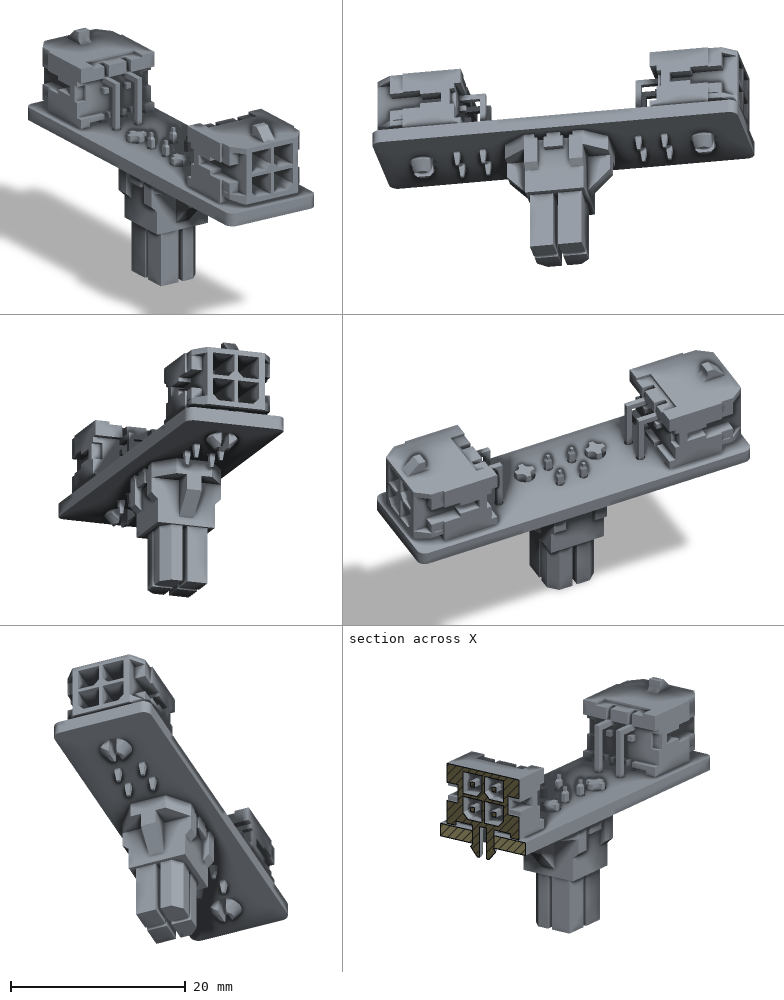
import cadquery as cq

BOARD_LENGTH = 42.5
BOARD_WIDTH = 12.0
BOARD_THICKNESS = 1.57
BOARD_CORNER_RADIUS = 1.0
BOARD_BOTTOM = -BOARD_THICKNESS

PITCH = 3.0
PIN_Y = PITCH / 2
PIN_HOLE_DIAMETER = 1.05

MOUTH_X = -20.95
SHOULDER_X = -19.3
WALL_STEP_X = -17.75
REAR_FACE_X = -11.77
REAR_LIP_X = -11.0
MOUTH_HALF = 3.53
FRONT_HALF = 4.8
REAR_HALF = 5.05
HEADER_TOP = 7.45
HEADER_BOTTOM = 0.65
FOOT_BOTTOM = 0.13
FOOT_INNER_Y = 3.8
UNDERCUT_Z = 1.0
CORNER_CUT_BOTTOM = 1.65
CORNER_CUT_TOP = 6.75

CHANNEL_X = -15.72
CHANNEL_BOTTOM = 2.95
CHANNEL_TOP = 5.1
CHANNEL_TAIL_X = -13.3
TAIL_BOTTOM = 3.45
TAIL_TOP = 4.65
TAIL_POCKET_OUTER_Y = 4.1
TAIL_POCKET_BOTTOM = 3.75
TAIL_POCKET_TOP = 4.5
TAIL_POCKET_DEPTH = 0.42
SIDE_SLIT_X = -18.9
SIDE_SLIT_BOTTOM = 1.6
SIDE_SLIT_HEIGHT = 0.13
SIDE_SLIT_DEPTH = 0.15

LIP_UNDER = 5.65
LOWER_LIP_TOP = 1.25
NOTCH_X = -12.32
NOTCH_INNER_Y = 3.9
NOTCH_BOTTOM = 3.05
NOTCH_TOP = 5.0
TOP_RECESS_X = -12.8
TOP_RECESS_HALF = 3.3
TOP_RECESS_DEPTH = 0.35

CAVITY_SIZE = 2.6
CAVITY_CENTER_Z = 4.05
CAVITY_DEPTH = 6.95
CAVITY_CHAMFER = 0.7
CONTACT_LENGTH = 3.4
CONTACT_TIP_CHAMFER = 0.15

LATCH_WIDTH = 1.5
LATCH_TOP = 8.85
LATCH_FRONT_X = -20.35
LATCH_CREST_FRONT_X = -18.83
LATCH_CREST_REAR_X = -18.0
LATCH_FILLET = 0.72

PIN_SIZE = 0.65
OUTER_PIN_X = -9.05
INNER_PIN_X = OUTER_PIN_X - PITCH
NUB_BOTTOM = 3.7
PIN_TAPER_START = -2.1
PIN_TIP_SIZE = 0.35
PIN_BOTTOM = -3.1

PEG_X = -16.35
PEG_HALF_THICKNESS = 1.05
PEG_NECK_RADIUS = 1.55
PEG_BARB_RADIUS = 1.83
PEG_BARB_Z = -2.0
PEG_TIP_RADIUS = 0.9
PEG_SLOT = 0.95
PEG_PAD_LENGTH = 6.38

PLUG_X = -0.3
PLUG_Y = -0.45
PLUG_HALF_X = 3.4
PLUG_LOWER_HALF_Y = 3.5
PLUG_UPPER_HALF_Y = 4.25
PLUG_STEP_TOP = -5.1
PLUG_STEP_BOTTOM = -5.82
PLUG_BOTTOM = -8.6
WING_HALF_X = 6.0
WING_HALF_Y = 0.9
WING_SLOPE_BOTTOM = -7.7
FLANGE_BOTTOM = -3.35
FLANGE_END_HALF_Y = 2.15
FRONT_POCKET_HALF_X = 1.85
CENTER_TAB_HALF_X = 1.1
PIN_CHANNEL_WIDTH = 1.45
PIN_CHANNEL_BOTTOM = -2.05

SOCKET_SIZE_X = 2.7
SOCKET_SIZE_Y = 2.42
SOCKET_GAP = 0.6
SOCKET_CHAMFER = 1.05
SOCKET_BOTTOM = -15.17

PLUG_PIN_SIZE_X = 0.75
PLUG_PIN_SIZE_Y = 0.5
PLUG_PIN_SHOULDER = 1.1
PLUG_PIN_TAPER_END = 1.35
PLUG_PIN_TIP_SIZE = 0.35
PLUG_PIN_TOP = 1.83

STAR_PEG_OFFSET_X = 4.5
STAR_PEG_Y = -PIN_Y
STAR_PEG_RADIUS = 1.15
STAR_PEG_HOLE_RADIUS = 1.25
STAR_PEG_TOP = 0.75
STAR_FLUTE_RADIUS = 0.65
STAR_FLUTE_DISTANCE = 1.35


def box(x0, x1, y0, y1, z0, z1):
    """Axis-aligned block between two opposite corners."""
    return cq.Workplane("XY").box(x1 - x0, y1 - y0, z1 - z0, centered=False).translate((x0, y0, z0))


def both_sides(shape):
    """The shape together with its mirror image across the XZ plane."""
    return shape.union(shape.mirror("XZ"))


def disc(x, y, radius, z0, z1):
    """Vertical cylinder between two heights."""
    return cq.Workplane("XY", origin=(x, y, z0)).circle(radius).extrude(z1 - z0)


def taper(x, y, z0, size0, z1, size1):
    """Vertical rectangular frustum, sizes given as (x, y)."""
    base = cq.Workplane("XY", origin=(x, y, z0)).rect(*size0)
    return base.workplane(offset=z1 - z0).rect(*size1).loft(combine=True)


def header_pin_points():
    return [(side * x, y) for side in (1, -1) for x in (OUTER_PIN_X, INNER_PIN_X) for y in (-PIN_Y, PIN_Y)]


def plug_pin_points():
    return [(PLUG_X + dx, y) for dx in (-PITCH / 2, PITCH / 2) for y in (-PIN_Y, PIN_Y)]


def star_peg_points():
    return [(PLUG_X + side * STAR_PEG_OFFSET_X, STAR_PEG_Y) for side in (-1, 1)]


def make_board():
    board = cq.Workplane("XY").box(BOARD_LENGTH, BOARD_WIDTH, BOARD_THICKNESS, centered=(True, True, False))
    board = board.edges("|Z").fillet(BOARD_CORNER_RADIUS).translate((0, 0, BOARD_BOTTOM))
    holes = [(x, y, PIN_HOLE_DIAMETER / 2) for x, y in header_pin_points() + plug_pin_points()]
    holes += [(x, y, STAR_PEG_HOLE_RADIUS) for x, y in star_peg_points()]
    holes += [(side * PEG_X, 0, PEG_NECK_RADIUS) for side in (1, -1)]
    for x, y, radius in holes:
        board = board.cut(disc(x, y, radius, BOARD_BOTTOM, 0))
    return board


def header_shell():
    front = (
        cq.Workplane("XY", origin=(0, 0, HEADER_BOTTOM))
        .moveTo(MOUTH_X, -MOUTH_HALF)
        .lineTo(SHOULDER_X, -FRONT_HALF)
        .lineTo(WALL_STEP_X, -FRONT_HALF)
        .lineTo(WALL_STEP_X, FRONT_HALF)
        .lineTo(SHOULDER_X, FRONT_HALF)
        .lineTo(MOUTH_X, MOUTH_HALF)
        .close()
        .extrude(HEADER_TOP - HEADER_BOTTOM)
    )
    undercut = (
        cq.Workplane("YZ", origin=(MOUTH_X, 0, 0))
        .moveTo(FOOT_INNER_Y, HEADER_BOTTOM)
        .lineTo(FRONT_HALF, HEADER_BOTTOM)
        .lineTo(FRONT_HALF, UNDERCUT_Z)
        .close()
        .extrude(WALL_STEP_X - MOUTH_X)
    )
    front = front.cut(both_sides(undercut))
    rear = box(WALL_STEP_X, REAR_LIP_X, -REAR_HALF, REAR_HALF, HEADER_BOTTOM, HEADER_TOP)
    rear_foot = box(WALL_STEP_X, REAR_LIP_X, FOOT_INNER_Y, REAR_HALF, FOOT_BOTTOM, HEADER_BOTTOM)
    return front.union(rear).union(both_sides(rear_foot))


def cut_header_sides(header):
    cuts = [
        box(MOUTH_X, SHOULDER_X, MOUTH_HALF, REAR_HALF, CORNER_CUT_BOTTOM, CORNER_CUT_TOP),
        box(SHOULDER_X, CHANNEL_X, MOUTH_HALF, REAR_HALF, CHANNEL_BOTTOM, CHANNEL_TOP),
        box(CHANNEL_X, CHANNEL_TAIL_X, MOUTH_HALF, REAR_HALF, TAIL_BOTTOM, TAIL_TOP),
        box(CHANNEL_TAIL_X, CHANNEL_TAIL_X + TAIL_POCKET_DEPTH, MOUTH_HALF, TAIL_POCKET_OUTER_Y,
            TAIL_POCKET_BOTTOM, TAIL_POCKET_TOP),
        box(SIDE_SLIT_X, WALL_STEP_X, FRONT_HALF - SIDE_SLIT_DEPTH, FRONT_HALF,
            SIDE_SLIT_BOTTOM, SIDE_SLIT_BOTTOM + SIDE_SLIT_HEIGHT),
        box(NOTCH_X, REAR_FACE_X, NOTCH_INNER_Y, REAR_HALF, NOTCH_BOTTOM, NOTCH_TOP),
    ]
    for cut in cuts:
        header = header.cut(both_sides(cut))
    return header


def cut_header_rear(header):
    header = header.cut(box(REAR_FACE_X, REAR_LIP_X, -REAR_HALF, REAR_HALF, LOWER_LIP_TOP, LIP_UNDER))
    header = header.cut(box(TOP_RECESS_X, REAR_LIP_X, -TOP_RECESS_HALF, TOP_RECESS_HALF,
                            HEADER_TOP - TOP_RECESS_DEPTH, HEADER_TOP))
    slot_y0 = PIN_Y - PIN_SIZE / 2
    slot_y1 = PIN_Y + PIN_SIZE / 2
    upper_slot = box(INNER_PIN_X - PIN_SIZE / 2, REAR_LIP_X, slot_y0, slot_y1, LIP_UNDER, HEADER_TOP)
    lower_slot = box(REAR_FACE_X, REAR_LIP_X, slot_y0, slot_y1, HEADER_BOTTOM, LOWER_LIP_TOP)
    return header.cut(both_sides(upper_slot)).cut(both_sides(lower_slot))


def cavity_and_contact(row):
    """Cavity of one row on the +Y side and its contact; row is +1 for upper, -1 for lower."""
    center_z = CAVITY_CENTER_Z + row * PITCH / 2
    floor_x = MOUTH_X + CAVITY_DEPTH
    half = CAVITY_SIZE / 2
    cavity = box(MOUTH_X, floor_x, PIN_Y - half, PIN_Y + half, center_z - half, center_z + half)
    bevelled_edge = "<Y and <Z" if row > 0 else ">Y and <Z"
    cavity = cavity.edges("|X").edges(bevelled_edge).chamfer(CAVITY_CHAMFER)
    pin_half = PIN_SIZE / 2
    contact = box(floor_x - CONTACT_LENGTH, floor_x, PIN_Y - pin_half, PIN_Y + pin_half,
                  center_z - pin_half, center_z + pin_half)
    contact = contact.faces("<X").chamfer(CONTACT_TIP_CHAMFER)
    return both_sides(cavity), both_sides(contact)


def header_latch():
    return (
        cq.Workplane("XZ", origin=(0, LATCH_WIDTH / 2, 0))
        .moveTo(LATCH_FRONT_X, HEADER_TOP)
        .lineTo(LATCH_CREST_FRONT_X, LATCH_TOP)
        .lineTo(LATCH_CREST_REAR_X, LATCH_TOP)
        .lineTo(LATCH_CREST_REAR_X, HEADER_TOP + LATCH_FILLET)
        .radiusArc((LATCH_CREST_REAR_X + LATCH_FILLET, HEADER_TOP), -LATCH_FILLET)
        .close()
        .extrude(LATCH_WIDTH)
    )


def header_pins():
    """Bent outer pin, straight inner pin and rear nub for both columns."""
    half = PIN_SIZE / 2
    y0 = PIN_Y - half
    y1 = PIN_Y + half
    square = (PIN_SIZE, PIN_SIZE)
    tip = (PIN_TIP_SIZE, PIN_TIP_SIZE)
    pins = box(INNER_PIN_X - half, OUTER_PIN_X + half, y0, y1, LIP_UNDER - PIN_SIZE, LIP_UNDER)
    pins = pins.union(box(REAR_FACE_X, REAR_LIP_X, y0, y1, NUB_BOTTOM, NUB_BOTTOM + PIN_SIZE))
    for x, top in ((OUTER_PIN_X, LIP_UNDER), (INNER_PIN_X, LOWER_LIP_TOP)):
        pins = pins.union(box(x - half, x + half, y0, y1, PIN_TAPER_START, top))
        pins = pins.union(taper(x, PIN_Y, PIN_TAPER_START, square, PIN_BOTTOM, tip))
    return both_sides(pins)


def header_peg():
    """Split, barbed snap peg with two flats, hanging from a pad split by the same slot."""
    peg = (
        cq.Workplane("XZ")
        .moveTo(0, HEADER_BOTTOM)
        .lineTo(PEG_NECK_RADIUS, HEADER_BOTTOM)
        .lineTo(PEG_NECK_RADIUS, BOARD_BOTTOM)
        .lineTo(PEG_BARB_RADIUS, PEG_BARB_Z)
        .lineTo(PEG_TIP_RADIUS, PIN_BOTTOM)
        .lineTo(0, PIN_BOTTOM)
        .close()
        .revolve(360, (0, 0, 0), (0, 1, 0))
    )
    flats = box(-PEG_HALF_THICKNESS, PEG_HALF_THICKNESS, -PEG_BARB_RADIUS, PEG_BARB_RADIUS,
                PIN_BOTTOM, HEADER_BOTTOM)
    pad_half = PEG_PAD_LENGTH / 2
    pad = box(-pad_half, pad_half, -PEG_NECK_RADIUS, PEG_NECK_RADIUS, FOOT_BOTTOM, HEADER_BOTTOM)
    slot = box(-pad_half, pad_half, -PEG_SLOT / 2, PEG_SLOT / 2, PIN_BOTTOM, HEADER_BOTTOM)
    return peg.intersect(flats).union(pad).cut(slot).translate((PEG_X, 0, 0))


def make_header():
    header = cut_header_rear(cut_header_sides(header_shell()))
    for row in (1, -1):
        cavity, contact = cavity_and_contact(row)
        header = header.cut(cavity).union(contact)
    return header.union(header_latch()).union(header_pins()).union(header_peg())


def plug_body():
    """Stepped housing, centred on the Z axis."""
    return (
        cq.Workplane("YZ", origin=(-PLUG_HALF_X, 0, 0))
        .moveTo(-PLUG_UPPER_HALF_Y, BOARD_BOTTOM)
        .lineTo(PLUG_UPPER_HALF_Y, BOARD_BOTTOM)
        .lineTo(PLUG_UPPER_HALF_Y, PLUG_STEP_TOP)
        .lineTo(PLUG_LOWER_HALF_Y, PLUG_STEP_BOTTOM)
        .lineTo(PLUG_LOWER_HALF_Y, PLUG_BOTTOM)
        .lineTo(-PLUG_LOWER_HALF_Y, PLUG_BOTTOM)
        .lineTo(-PLUG_LOWER_HALF_Y, PLUG_STEP_BOTTOM)
        .lineTo(-PLUG_UPPER_HALF_Y, PLUG_STEP_TOP)
        .close()
        .extrude(2 * PLUG_HALF_X)
    )


def plug_flange():
    """Eight-sided plate under the board."""
    return (
        cq.Workplane("XY", origin=(0, 0, FLANGE_BOTTOM))
        .polyline([
            (-WING_HALF_X, -FLANGE_END_HALF_Y), (-PLUG_HALF_X, -PLUG_UPPER_HALF_Y),
            (PLUG_HALF_X, -PLUG_UPPER_HALF_Y), (WING_HALF_X, -FLANGE_END_HALF_Y),
            (WING_HALF_X, FLANGE_END_HALF_Y), (PLUG_HALF_X, PLUG_UPPER_HALF_Y),
            (-PLUG_HALF_X, PLUG_UPPER_HALF_Y), (-WING_HALF_X, FLANGE_END_HALF_Y),
        ])
        .close()
        .extrude(BOARD_BOTTOM - FLANGE_BOTTOM)
    )


def plug_wings():
    """Gusset ribs under both ends of the flange."""
    return (
        cq.Workplane("XZ", origin=(0, WING_HALF_Y, 0))
        .moveTo(-WING_HALF_X, FLANGE_BOTTOM)
        .lineTo(WING_HALF_X, FLANGE_BOTTOM)
        .lineTo(WING_HALF_X, PLUG_STEP_TOP)
        .lineTo(PLUG_HALF_X, WING_SLOPE_BOTTOM)
        .lineTo(-PLUG_HALF_X, WING_SLOPE_BOTTOM)
        .lineTo(-WING_HALF_X, PLUG_STEP_TOP)
        .close()
        .extrude(2 * WING_HALF_Y)
    )


def plug_sockets():
    """Four rectangular barrels; the outer +Y corners of the rear pair are bevelled."""
    sockets = cq.Workplane("XY")
    for side_x in (-1, 1):
        for side_y in (-1, 1):
            x = side_x * (SOCKET_SIZE_X + SOCKET_GAP) / 2
            y = side_y * (SOCKET_SIZE_Y + SOCKET_GAP) / 2
            socket = cq.Workplane("XY", origin=(x, y, SOCKET_BOTTOM)).rect(SOCKET_SIZE_X, SOCKET_SIZE_Y)
            socket = socket.extrude(PLUG_BOTTOM - SOCKET_BOTTOM)
            if side_y > 0:
                outer_corner = "<X and >Y" if side_x < 0 else ">X and >Y"
                socket = socket.edges("|Z").edges(outer_corner).chamfer(SOCKET_CHAMFER)
            sockets = sockets.union(socket)
    return sockets


def plug_housing():
    housing = plug_body().union(plug_flange()).union(plug_wings())
    pocket = box(-FRONT_POCKET_HALF_X, FRONT_POCKET_HALF_X, PLUG_LOWER_HALF_Y, PLUG_UPPER_HALF_Y,
                 PLUG_STEP_BOTTOM, BOARD_BOTTOM)
    tab = box(-CENTER_TAB_HALF_X, CENTER_TAB_HALF_X, PLUG_LOWER_HALF_Y, PLUG_UPPER_HALF_Y,
              FLANGE_BOTTOM, BOARD_BOTTOM)
    housing = housing.cut(both_sides(pocket)).union(both_sides(tab))
    for x in (-PITCH / 2, PITCH / 2):
        housing = housing.cut(box(x - PIN_CHANNEL_WIDTH / 2, x + PIN_CHANNEL_WIDTH / 2,
                                  -PLUG_UPPER_HALF_Y, PLUG_UPPER_HALF_Y, PIN_CHANNEL_BOTTOM, BOARD_BOTTOM))
    return housing.union(plug_sockets()).translate((PLUG_X, PLUG_Y, 0))


def plug_pin(x, y):
    shank = (PLUG_PIN_SIZE_X, PLUG_PIN_SIZE_Y)
    tip = (PLUG_PIN_TIP_SIZE, PLUG_PIN_TIP_SIZE)
    pin = taper(x, y, PIN_CHANNEL_BOTTOM, shank, PLUG_PIN_SHOULDER, shank)
    pin = pin.union(taper(x, y, PLUG_PIN_SHOULDER, shank, PLUG_PIN_TAPER_END, tip))
    return pin.union(taper(x, y, PLUG_PIN_TAPER_END, tip, PLUG_PIN_TOP, tip))


def star_peg(x, y):
    """Locating peg with four round flutes on its diagonals."""
    flutes = (
        cq.Workplane("XY", origin=(0, 0, BOARD_BOTTOM))
        .polarArray(STAR_FLUTE_DISTANCE, 45, 360, 4)
        .circle(STAR_FLUTE_RADIUS)
        .extrude(STAR_PEG_TOP - BOARD_BOTTOM)
    )
    return disc(0, 0, STAR_PEG_RADIUS, BOARD_BOTTOM, STAR_PEG_TOP).cut(flutes).translate((x, y, 0))


def make_plug():
    plug = plug_housing()
    for x, y in plug_pin_points():
        plug = plug.union(plug_pin(x, y))
    for x, y in star_peg_points():
        plug = plug.union(star_peg(x, y))
    return plug


board = make_board()
plug = make_plug()
headers = [make_header().rotate((0, 0, 0), (0, 0, 1), angle) for angle in (0, 180)]

result = cq.Compound.makeCompound([
    board.solids().val(),
    plug.solids().val(),
    *[header.solids().val() for header in headers],
])